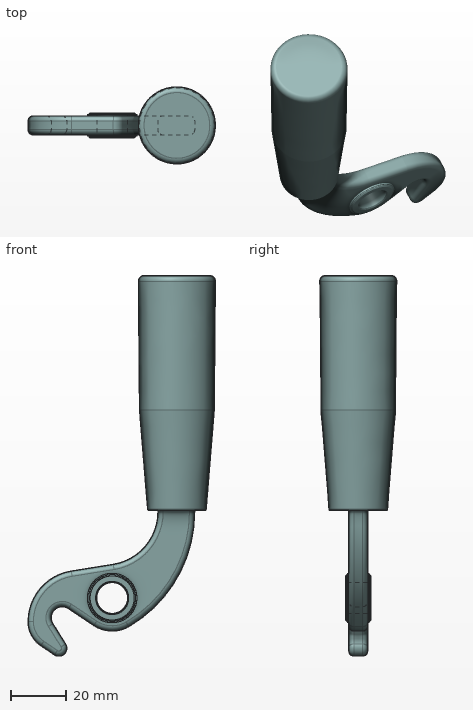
import cadquery as cq
import math


overall_length = 138.0

plate_thickness = 6.9
plate_edge_radius = 2.0
eye_radius = 12.0
back_angle = 9.1
neck_inner_x = 16.5
neck_outer_x = 30.0
neck_z = 31.2

hook_left_x = -30.5
hook_mouth_radius = 4.0
hook_mouth_center = (-18.1, -7.2)
hook_back_radius = 18.6
tip_radius = 2.9
tip_center = (-19.3, -18.2)
tip_outer_angle = 34.0

boss_length = 9.1
boss_base_diameter = 18.0
boss_base_length = 7.9
boss_rim_diameter = 17.0
boss_face_diameter = 16.0
hole_diameter = 11.2
hole_chamfer = 0.4

grip_x = 23.5
grip_bottom_z = 31.7
grip_waist_z = 68.2
grip_top_z = tip_center[1] - tip_radius + overall_length
grip_bottom_radius = 10.6
grip_waist_diameter = 27.2
grip_top_diameter = 28.0
grip_top_fillet = 2.1
grip_bottom_fillet = 0.5
neck_insertion = 4.1


def polar(center, radius, degrees):
    """Point on a circle at the given angle from +X towards +Z."""
    angle = math.radians(degrees)
    return (center[0] + radius * math.cos(angle), center[1] + radius * math.sin(angle))


def direction(start, end):
    """Angle in degrees of the vector from start to end."""
    return math.degrees(math.atan2(end[1] - start[1], end[0] - start[0]))


def add_arc(outline, center, radius, start, end):
    """Continue an outline along a circle from the start angle to the end angle."""
    middle = (start + end) / 2
    return outline.threePointArc(polar(center, radius, middle), polar(center, radius, end))


def make_plate():
    eye = (0.0, 0.0)
    back_normal = 90 + back_angle

    normal = math.radians(back_normal)
    neck_radius = (
        neck_inner_x * math.cos(normal) + neck_z * math.sin(normal) - eye_radius
    ) / (1 + math.cos(normal))
    neck_center = (neck_inner_x - neck_radius, neck_z)

    outer_radius = (neck_outer_x**2 + neck_z**2 - eye_radius**2) / (2 * (neck_outer_x - eye_radius))
    outer_center = (neck_outer_x - outer_radius, neck_z)
    eye_start = direction(outer_center, eye)

    to_mouth = direction(eye, hook_mouth_center)
    mouth_distance = math.hypot(*hook_mouth_center)
    eye_end = to_mouth + math.degrees(math.acos((eye_radius + hook_mouth_radius) / mouth_distance))
    mouth_start = eye_end + 180

    to_tip = direction(hook_mouth_center, tip_center)
    tip_distance = math.dist(hook_mouth_center, tip_center)
    mouth_end = to_tip - math.degrees(math.acos((hook_mouth_radius + tip_radius) / tip_distance))
    tip_start = mouth_end + 180
    tip_end = 270 - tip_outer_angle

    back_center_x = hook_left_x + hook_back_radius
    back_offset = eye_radius - hook_back_radius
    back_center = (
        back_center_x,
        (back_offset - back_center_x * math.cos(normal)) / math.sin(normal),
    )

    tip_normal = math.radians(tip_end)
    to_edge = (
        (tip_center[0] - hook_left_x) * math.cos(tip_normal)
        + (tip_center[1] - back_center[1]) * math.sin(tip_normal)
        + tip_radius
    )
    lower_radius = to_edge / (1 + math.cos(tip_normal))
    lower_center = (hook_left_x + lower_radius, back_center[1])

    neck_top_z = grip_bottom_z + neck_insertion

    outline = cq.Workplane("XZ").moveTo(neck_outer_x, neck_top_z).lineTo(neck_outer_x, neck_z)
    outline = add_arc(outline, outer_center, outer_radius, 0, eye_start)
    outline = add_arc(outline, eye, eye_radius, eye_start, eye_end)
    outline = outline.lineTo(*polar(hook_mouth_center, hook_mouth_radius, mouth_start))
    outline = add_arc(outline, hook_mouth_center, hook_mouth_radius, mouth_start, mouth_end + 360)
    outline = outline.lineTo(*polar(tip_center, tip_radius, tip_start))
    outline = add_arc(outline, tip_center, tip_radius, tip_start, tip_end - 360)
    outline = outline.lineTo(*polar(lower_center, lower_radius, tip_end))
    outline = add_arc(outline, lower_center, lower_radius, tip_end, 180)
    outline = add_arc(outline, back_center, hook_back_radius, 180, back_normal)
    outline = outline.lineTo(*polar(neck_center, neck_radius, back_normal - 180))
    outline = add_arc(outline, neck_center, neck_radius, back_normal - 180, 0)
    outline = outline.lineTo(neck_inner_x, neck_top_z).close()
    plate = outline.extrude(plate_thickness / 2, both=True)
    return plate.faces("|Y").edges().fillet(plate_edge_radius)


def y_cylinder(diameter, length):
    """Cylinder along Y centred on the pivot."""
    return cq.Workplane("XZ").circle(diameter / 2).extrude(length / 2, both=True)


def make_boss():
    rim_chamfer = (boss_rim_diameter - boss_face_diameter) / 2
    rim = y_cylinder(boss_rim_diameter, boss_length).faces("|Y").chamfer(rim_chamfer)
    return rim.union(y_cylinder(boss_base_diameter, boss_base_length))


def cut_pivot_hole(body):
    drilled = body.cut(y_cylinder(hole_diameter, boss_length))
    hole_rims = drilled.faces("<Y or >Y").edges(cq.selectors.RadiusNthSelector(0))
    return hole_rims.chamfer(hole_chamfer)


def make_grip():
    profile = (
        cq.Workplane("XZ", origin=(grip_x, 0, 0))
        .moveTo(0, grip_bottom_z)
        .lineTo(grip_bottom_radius, grip_bottom_z)
        .lineTo(grip_waist_diameter / 2, grip_waist_z)
        .lineTo(grip_top_diameter / 2, grip_top_z)
        .lineTo(0, grip_top_z)
        .close()
    )
    grip = profile.revolve(360, (0, 0, 0), (0, 1, 0))
    grip = grip.faces(">Z").edges().fillet(grip_top_fillet)
    return grip.faces("<Z").edges().fillet(grip_bottom_fillet)


lever = cut_pivot_hole(make_plate().union(make_boss()))
result = lever.union(make_grip())